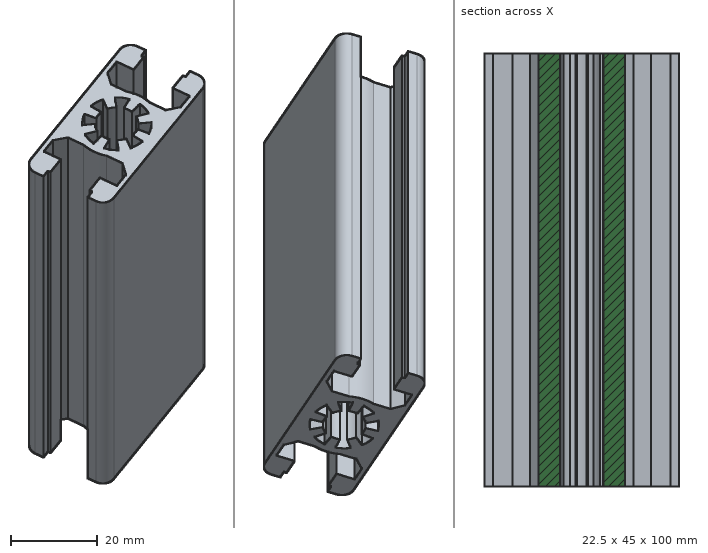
import cadquery as cq
import math

width = 22.5
depth = 45.0
length = 100.0
corner_radius = 3.0

mouth_half_width = 6.0
mouth_step_depth = 2.0
throat_half_width = 5.3
lip_thickness = 6.5
cavity_half_width = 9.9
floor_depth = 13.0
cavity_chamfer = 2.5
floor_bulge_radius = 10.0

tooth_count = 8
bore_root_radius = 8.0
bore_tip_radius = 5.0
tooth_root_half_width = 1.4
tooth_tip_half_width = 1.1


def make_body():
    body = cq.Workplane("XY").rect(width, depth).extrude(length)
    return body.edges("|Z").fillet(corner_radius)


def make_slot():
    """T-slot on the +Y end, whose floor bulges outward around the bore axis."""
    face_y = depth / 2
    step_y = face_y - mouth_step_depth
    lip_y = face_y - lip_thickness
    floor_y = face_y - floor_depth
    chamfer_y = floor_y + cavity_chamfer
    floor_half_width = cavity_half_width - cavity_chamfer
    bulge_half_width = math.sqrt(floor_bulge_radius**2 - floor_y**2)

    right_side = [
        (mouth_half_width, face_y),
        (mouth_half_width, step_y),
        (throat_half_width, step_y),
        (throat_half_width, lip_y),
        (cavity_half_width, lip_y),
        (cavity_half_width, chamfer_y),
        (floor_half_width, floor_y),
        (bulge_half_width, floor_y),
    ]
    left_side = [(-x, y) for x, y in reversed(right_side)]
    outline = cq.Workplane("XY").polyline(right_side)
    outline = outline.threePointArc((0, floor_bulge_radius), left_side[0])
    for point in left_side[1:]:
        outline = outline.lineTo(*point)
    return outline.close().extrude(length)


def make_toothed_bore():
    """Bore void with tapered teeth left standing around its wall."""
    root_y = math.sqrt(bore_root_radius**2 - tooth_root_half_width**2)
    tip_y = math.sqrt(bore_tip_radius**2 - tooth_tip_half_width**2)
    tooth = (
        cq.Workplane("XY")
        .moveTo(-tooth_root_half_width, root_y)
        .lineTo(-tooth_tip_half_width, tip_y)
        .threePointArc((0, bore_tip_radius), (tooth_tip_half_width, tip_y))
        .lineTo(tooth_root_half_width, root_y)
        .threePointArc((0, bore_root_radius), (-tooth_root_half_width, root_y))
        .close()
        .extrude(length)
    )
    bore = cq.Workplane("XY").circle(bore_root_radius).extrude(length)
    for index in range(tooth_count):
        angle = index * 360 / tooth_count
        bore = bore.cut(tooth.rotate((0, 0, 0), (0, 0, 1), angle))
    return bore


slot = make_slot()
result = make_body().cut(slot).cut(slot.mirror("XZ")).cut(make_toothed_bore())